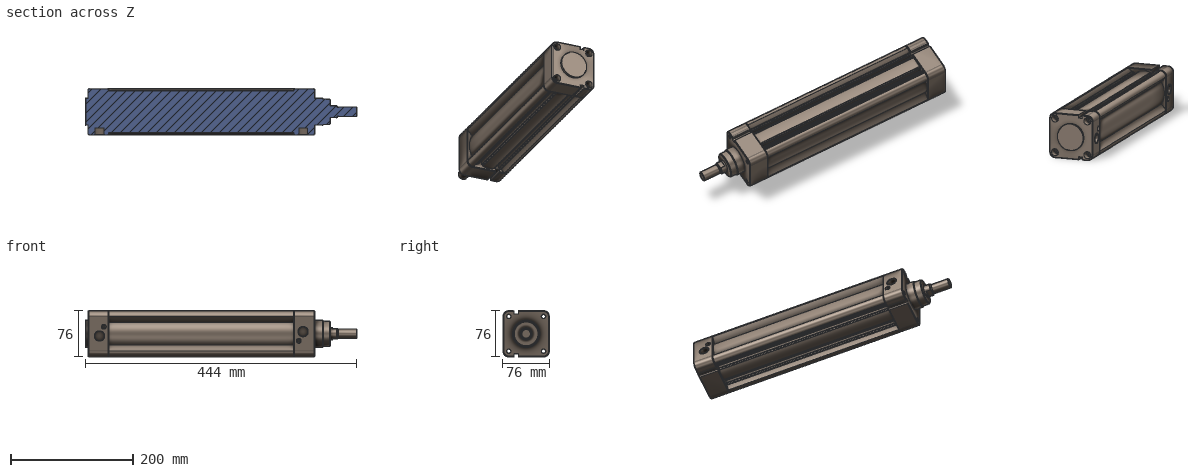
import cadquery as cq

LENGTH = 444.0
SIDE = 76.0
HALF = SIDE / 2

REAR_CAP_START = 4.0
REAR_CAP_END = 38.0
FRONT_CAP_START = 340.5
FRONT_CAP_END = 375.0
COLLAR_END = 389.5
GLAND_END = 401.0
FLAT_START = 404.0
SHANK_END = 412.0
NECK_END = 414.3

CORNER_RADIUS = 9.8
CAP_CHAMFER = 1.5
PILOT_DIAMETER = 45.0
CAP_SLOT_INNER = 13.0
CAP_SLOT_OUTER = 19.5
CAP_SLOT_DEPTH = 5.5
CAP_SLOT_BEVEL_WIDTH = 2.5
CAP_SLOT_BEVEL_DEPTH = 0.5

HOLE_OFFSET = 28.5
HOLE_DIAMETER = 6.5
HOLE_MOUTH_DIAMETER = 11.5
HOLE_MOUTH_DEPTH = 13.5

PORT_DIAMETER = 15.0
PORT_MOUTH_DIAMETER = 17.0
PORT_MOUTH_DEPTH = 1.0
PORT_DEPTH = 11.0
PORT_FROM_CAP_CENTRE = 1.8
PORT_Z = 3.5
SCREW_DIAMETER = 8.0
SCREW_DEPTH = 4.5
SCREW_BORE_DIAMETER = 4.5
SCREW_BORE_DEPTH = 9.0
SCREW_FROM_CAP_CENTRE = 9.0
SCREW_Z = 11.5

BARREL_RADIUS = 34.5
CORNER_RIB_EDGE = HALF - CORNER_RADIUS
SIDE_SLANT_END = 18.5
SLOT_SLANT_END = 22.5
SLOT_SLANT_HEIGHT = 31.5
SLOT_SHOULDER_HEIGHT = 32.0
SLOT_CENTRE = 15.5
SLOT_WIDTH = 5.5
SLOT_FLOOR = 24.0
SLOT_MOUTH_WIDTH = 10.5
SLOT_LEDGE = 1.5
SLOT_LEDGE_HEIGHT = 30.0

COLLAR_CHAMFER = 1.5
NOSE_BASE_DIAMETER = 42.0
NOSE_TIP_DIAMETER = 41.7
NOSE_CHAMFER = 1.5
SHANK_DIAMETER = 20.0
SHANK_FLAT_WIDTH = 17.0
SHANK_CHAMFER = 1.0
NECK_DIAMETER = 15.0
ROD_DIAMETER = 16.0
ROD_CHAMFER = 1.0


def box(x_range, y_range, z_range):
    """Box between the given limits on each axis."""
    size = [high - low for low, high in (x_range, y_range, z_range)]
    corner = (x_range[0], y_range[0], z_range[0])
    return cq.Workplane("XY").box(*size, centered=False).translate(corner)


def cylinder(start, end, diameter):
    """Cylinder on the main axis."""
    return cq.Workplane("YZ", origin=(start, 0, 0)).circle(diameter / 2).extrude(end - start)


def square_bar(start, end):
    """Square bar along the main axis with rounded long edges."""
    bar = box((start, end), (-HALF, HALF), (-HALF, HALF))
    return bar.edges("|X").fillet(CORNER_RADIUS)


def prism(start, end, points):
    """Polygon in the YZ plane extruded along the main axis."""
    return cq.Workplane("YZ", origin=(start, 0, 0)).polyline(points).close().extrude(end - start)


def make_cap(start, end):
    """Square end cap with one long slot on the top and one on the bottom."""
    cap = square_bar(start, end).faces("<X or >X").chamfer(CAP_CHAMFER)
    slot = prism(start, end, [
        (-CAP_SLOT_INNER, HALF),
        (-CAP_SLOT_INNER, HALF - CAP_SLOT_DEPTH),
        (-CAP_SLOT_OUTER, HALF - CAP_SLOT_DEPTH),
        (-CAP_SLOT_OUTER, HALF - CAP_SLOT_BEVEL_DEPTH),
        (-CAP_SLOT_OUTER - CAP_SLOT_BEVEL_WIDTH, HALF),
    ])
    return cap.cut(slot).cut(slot.mirror("XY"))


def make_slot(start, end):
    """Sensor slot centred on Y = 0: bevelled mouth, a narrow ledge, then a straight channel."""
    channel = SLOT_WIDTH / 2
    ledge = channel + SLOT_LEDGE
    mouth = SLOT_MOUTH_WIDTH / 2
    right = [
        (channel, SLOT_FLOOR),
        (channel, SLOT_LEDGE_HEIGHT),
        (ledge, SLOT_LEDGE_HEIGHT),
        (mouth, SLOT_SHOULDER_HEIGHT),
        (mouth, HALF),
    ]
    left = [(-y, z) for y, z in reversed(right)]
    return prism(start, end, right + left)


def make_tube(start, end):
    """Barrel with four corner ribs and two sensor slots on the top and on the bottom."""
    barrel_at_slant = (BARREL_RADIUS**2 - SIDE_SLANT_END**2) ** 0.5
    side_recess = prism(start, end, [
        (-HALF, CORNER_RIB_EDGE),
        (-barrel_at_slant, SIDE_SLANT_END),
        (-barrel_at_slant, -SIDE_SLANT_END),
        (-HALF, -CORNER_RIB_EDGE),
    ])
    slot_edge = SLOT_CENTRE + SLOT_MOUTH_WIDTH / 2
    top_recess = prism(start, end, [
        (-CORNER_RIB_EDGE, HALF),
        (-SLOT_SLANT_END, SLOT_SLANT_HEIGHT),
        (-slot_edge, SLOT_SHOULDER_HEIGHT),
        (slot_edge, SLOT_SHOULDER_HEIGHT),
        (SLOT_SLANT_END, SLOT_SLANT_HEIGHT),
        (CORNER_RIB_EDGE, HALF),
    ])
    tube = square_bar(start, end)
    for recess in (side_recess, side_recess.mirror("XZ"), top_recess, top_recess.mirror("XY")):
        tube = tube.cut(recess)
    tube = tube.union(cylinder(start, end, 2 * BARREL_RADIUS))

    for side in (-1, 1):
        groove = make_slot(start, end).translate((0, side * SLOT_CENTRE, 0))
        tube = tube.cut(groove).cut(groove.mirror("XY"))
    return tube


def make_gland():
    """Collar on the front cap with a slightly tapered nose, turned about the main axis."""
    profile = [
        (FRONT_CAP_END, 0),
        (FRONT_CAP_END, PILOT_DIAMETER / 2),
        (COLLAR_END - COLLAR_CHAMFER, PILOT_DIAMETER / 2),
        (COLLAR_END, NOSE_BASE_DIAMETER / 2),
        (GLAND_END - NOSE_CHAMFER, NOSE_TIP_DIAMETER / 2),
        (GLAND_END, NOSE_TIP_DIAMETER / 2 - NOSE_CHAMFER),
        (GLAND_END, 0),
    ]
    return cq.Workplane("XY").polyline(profile).close().revolve(360, (0, 0, 0), (1, 0, 0))


def make_rod():
    """Piston rod end: shank with wrench flats, neck and plain rod."""
    shank = cylinder(GLAND_END, SHANK_END, SHANK_DIAMETER).faces(">X").chamfer(SHANK_CHAMFER)
    flat = box((FLAT_START, SHANK_END), (-HALF, HALF), (SHANK_FLAT_WIDTH / 2, HALF))
    shank = shank.cut(flat).cut(flat.mirror("XY"))
    neck = cylinder(SHANK_END, NECK_END, NECK_DIAMETER)
    rod = cylinder(NECK_END, LENGTH, ROD_DIAMETER).faces(">X").chamfer(ROD_CHAMFER)
    return shank.union(neck).union(rod)


def cut_tie_rod_holes(body):
    """Four through holes at the corners, counterbored at the rear."""
    corners = [(y, z) for y in (-HOLE_OFFSET, HOLE_OFFSET) for z in (-HOLE_OFFSET, HOLE_OFFSET)]
    plane = cq.Workplane("YZ", origin=(REAR_CAP_START, 0, 0)).pushPoints(corners)
    holes = plane.circle(HOLE_DIAMETER / 2).extrude(FRONT_CAP_END - REAR_CAP_START)
    mouths = plane.circle(HOLE_MOUTH_DIAMETER / 2).extrude(HOLE_MOUTH_DEPTH)
    return body.cut(holes).cut(mouths)


def side_hole(x, z, diameter, depth):
    """Blind hole drilled into the -Y side."""
    return cq.Workplane("XZ", origin=(x, -HALF, z)).circle(diameter / 2).extrude(-depth)


def cut_ports(body):
    """Port and cushion screw in each cap, in a half-turn symmetric layout."""
    caps = ((REAR_CAP_START, REAR_CAP_END, 1), (FRONT_CAP_START, FRONT_CAP_END, -1))
    for start, end, side in caps:
        middle = (start + end) / 2
        port = (middle + side * PORT_FROM_CAP_CENTRE, -side * PORT_Z)
        screw = (middle + side * SCREW_FROM_CAP_CENTRE, side * SCREW_Z)
        body = body.cut(side_hole(*port, PORT_MOUTH_DIAMETER, PORT_MOUTH_DEPTH))
        body = body.cut(side_hole(*port, PORT_DIAMETER, PORT_DEPTH))
        body = body.cut(side_hole(*screw, SCREW_DIAMETER, SCREW_DEPTH))
        body = body.cut(side_hole(*screw, SCREW_BORE_DIAMETER, SCREW_BORE_DEPTH))
    return body


body = cylinder(0, REAR_CAP_START, PILOT_DIAMETER)
body = body.union(make_cap(REAR_CAP_START, REAR_CAP_END))
body = body.union(make_tube(REAR_CAP_END, FRONT_CAP_START))
body = body.union(make_cap(FRONT_CAP_START, FRONT_CAP_END))
body = body.union(make_gland()).union(make_rod())
result = cut_ports(cut_tie_rod_holes(body))